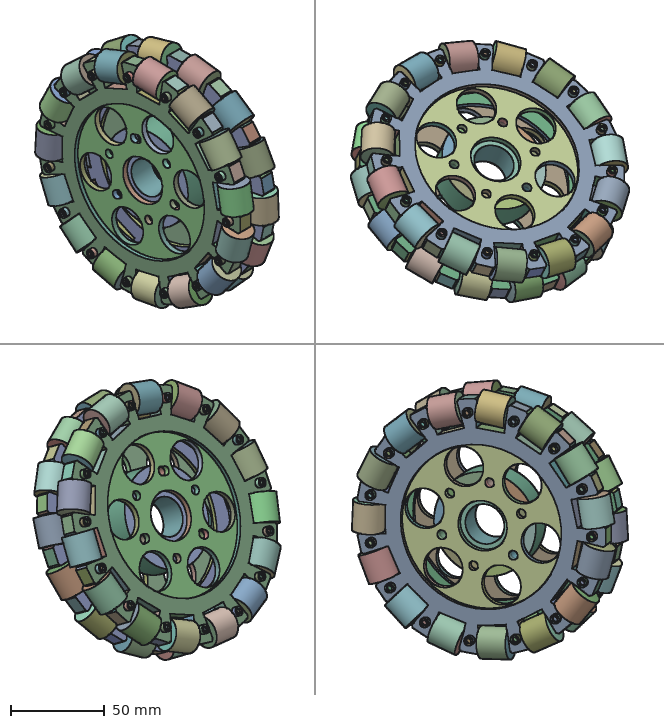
import cadquery as cq
import math


WHEEL_SPACING = 20.2
WHEEL_THICKNESS = 8.9

SPOKE_COUNT = 15
SPOKE_START_ANGLE = -0.3
SPOKE_OUTER_REACH = 70.6
SPOKE_CORNER_CHAMFER = 1.3
POCKET_FLOOR_REACH = 54.1
POCKET_FLOOR_WIDTH = 15.9
POCKET_FLARE = 3.0

ROLLER_RADIUS = 8.9
ROLLER_LENGTH = 16.5
ROLLER_CONE_ANGLE = 6.0
ROLLER_CLEARANCE = 1.5

SCREW_REACH = 63.3
SCREW_HEAD_RADIUS = 2.5
SCREW_HEAD_HEIGHT = 3.0
SCREW_SOCKET_RADIUS = 1.5
SCREW_SOCKET_DEPTH = 1.5

WEB_RADIUS = 45.5
WEB_RECESS_DEPTH = 2.7
WEB_BORE_RADIUS = 13.8
WINDOW_COUNT = 6
WINDOW_RADIUS = 11.0
WINDOW_REACH = 33.6
WINDOW_START_ANGLE = 11.6

BOLT_COUNT = 6
BOLT_RADIUS = 2.5
BOLT_REACH = 23.8
BOLT_START_ANGLE = 42.2
BOLT_CENTRE = (-0.9, 0.5)

HUB_RADIUS = 28.8
HUB_BORE_RADIUS = 11.0

SPOKE_PITCH = 360 / SPOKE_COUNT
HALF_THICKNESS = WHEEL_THICKNESS / 2
WEB_THICKNESS = WHEEL_THICKNESS - 2 * WEB_RECESS_DEPTH
HUB_LENGTH = WHEEL_SPACING - WEB_THICKNESS
TURN_AXIS_ANGLE = WINDOW_START_ANGLE + 90


def polar(radius, angle):
    """Point at a radius and an angle in degrees."""
    a = math.radians(angle)
    return (radius * math.cos(a), radius * math.sin(a))


def ring_of_points(count, radius, start_angle):
    return [polar(radius, start_angle + i * 360 / count) for i in range(count)]


def disc(radius, height, centres=((0, 0),)):
    """Upright cylinders centred on the plane Z = 0."""
    return cq.Workplane("XY").pushPoints(centres).circle(radius).extrude(height / 2, both=True)


def turned_over(body):
    """The body turned half round about a line across the axle."""
    return body.rotate((0, 0, 0), (*polar(1, TURN_AXIS_ANGLE), 0), 180)


def bolt_points():
    points = ring_of_points(BOLT_COUNT, BOLT_REACH, BOLT_START_ANGLE)
    return [(BOLT_CENTRE[0] + x, BOLT_CENTRE[1] + y) for x, y in points]


def spoke():
    """One spoke along +X, rooted halfway into the rim; its sides bound the two pockets beside it."""
    half_pitch = math.radians(SPOKE_PITCH / 2)
    side_lean = math.tan(half_pitch - math.radians(POCKET_FLARE))
    root_reach = POCKET_FLOOR_REACH * math.cos(half_pitch) + POCKET_FLOOR_WIDTH / 2 * math.sin(half_pitch)
    root_half = POCKET_FLOOR_REACH * math.sin(half_pitch) - POCKET_FLOOR_WIDTH / 2 * math.cos(half_pitch)
    tip_half = root_half + (SPOKE_OUTER_REACH - root_reach) * side_lean
    inner_reach = (WEB_RADIUS + POCKET_FLOOR_REACH) / 2
    inner_half = root_half - (root_reach - inner_reach) * side_lean
    outline = [
        (inner_reach, -inner_half),
        (SPOKE_OUTER_REACH, -tip_half),
        (SPOKE_OUTER_REACH, tip_half),
        (inner_reach, inner_half),
    ]
    return (
        cq.Workplane("XY").polyline(outline).close().extrude(HALF_THICKNESS, both=True)
        .edges("|Z and >X").chamfer(SPOKE_CORNER_CHAMFER)
    )


def screw_head():
    """Round head with a blind socket, on the outer face of the spoke along +X."""
    return (
        cq.Workplane("XY").workplane(offset=HALF_THICKNESS).center(SCREW_REACH, 0)
        .circle(SCREW_HEAD_RADIUS).extrude(SCREW_HEAD_HEIGHT)
        .faces(">Z").workplane().hole(2 * SCREW_SOCKET_RADIUS, SCREW_SOCKET_DEPTH)
    )


def roller():
    """Roller of the pocket along +X, with its flat end against the pocket's clockwise side."""
    cone_height = ROLLER_RADIUS * math.tan(math.radians(ROLLER_CONE_ANGLE))
    half_profile = [
        (0, 0),
        (ROLLER_RADIUS, 0),
        (ROLLER_RADIUS, ROLLER_LENGTH),
        (0, ROLLER_LENGTH + cone_height),
    ]
    return (
        cq.Workplane("XY").polyline(half_profile).close().revolve(360, (0, 0), (0, 1))
        .translate((ROLLER_CLEARANCE + ROLLER_RADIUS, 0, 0))
        .rotate((0, 0, 0), (0, 0, 1), -POCKET_FLARE)
        .translate((POCKET_FLOOR_REACH, -POCKET_FLOOR_WIDTH / 2, 0))
    )


def rim():
    """Ring with one flat per pocket on its outside, recessed on both sides down to the web."""
    corner_radius = POCKET_FLOOR_REACH / math.cos(math.radians(SPOKE_PITCH / 2))
    ring = (
        cq.Workplane("XY").polygon(SPOKE_COUNT, 2 * corner_radius).extrude(HALF_THICKNESS, both=True)
        .rotate((0, 0, 0), (0, 0, 1), SPOKE_START_ANGLE)
    )
    return ring.cut(disc(WEB_RADIUS, WHEEL_THICKNESS)).union(disc(WEB_RADIUS, WEB_THICKNESS))


def wheel():
    """One complete wheel, on the upper side of the mid-plane."""
    body = rim()
    for i in range(SPOKE_COUNT):
        spoke_angle = SPOKE_START_ANGLE + i * SPOKE_PITCH
        pocket_angle = spoke_angle + SPOKE_PITCH / 2
        body = body.union(spoke().union(screw_head()).rotate((0, 0, 0), (0, 0, 1), spoke_angle))
        body = body.union(roller().rotate((0, 0, 0), (0, 0, 1), pocket_angle))
    body = body.cut(disc(WEB_BORE_RADIUS, WHEEL_THICKNESS))
    windows = ring_of_points(WINDOW_COUNT, WINDOW_REACH, WINDOW_START_ANGLE)
    body = body.cut(disc(WINDOW_RADIUS, WHEEL_THICKNESS, windows))
    body = body.cut(disc(BOLT_RADIUS, WHEEL_THICKNESS, bolt_points()))
    return body.translate((0, 0, WHEEL_SPACING / 2))


def hub():
    """Spacer between the webs, made in one piece with the rear wheel."""
    return disc(HUB_RADIUS, HUB_LENGTH).cut(disc(HUB_BORE_RADIUS, HUB_LENGTH))


def through_bolts():
    """Every second bolt hole of the turned-over wheel, carried on through the hub and the other wheel."""
    return turned_over(disc(BOLT_RADIUS, 2 * WHEEL_SPACING, bolt_points()[1::2]))


def stood_up(body):
    """Turns the axle to Y, outer side of the upper wheel towards -Y."""
    return body.rotate((0, 0, 0), (1, 0, 0), 90)


front_wheel = stood_up(wheel().cut(through_bolts()))
rear_wheel = stood_up(turned_over(wheel()).union(hub()).cut(through_bolts()))

result = cq.Compound.makeCompound([front_wheel.val(), rear_wheel.val()])